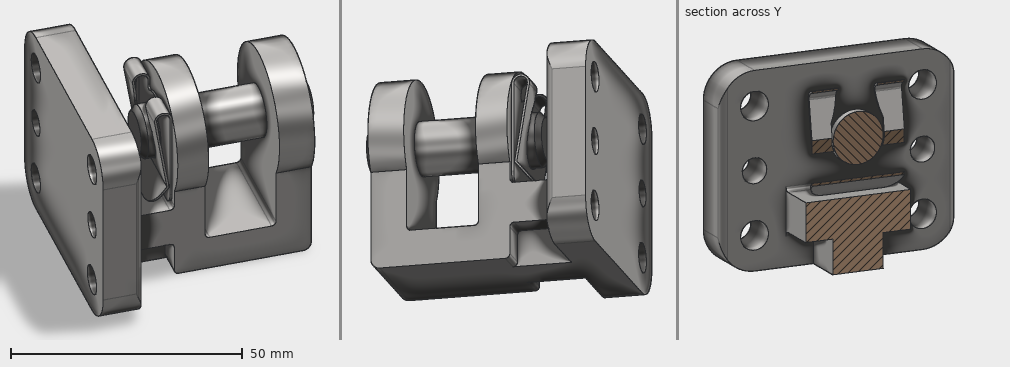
import cadquery as cq
import math


PLATE_WIDTH = 56.0
PLATE_THICKNESS = 9.0
HEIGHT = 45.0
PLATE_CORNER_RADIUS = 8.0
PLATE_EDGE_RADIUS = 1.5
HOLE_SPACING_X = 40.0
SCREW_SPACING_Z = 29.0
SCREW_HOLE_DIAMETER = 6.6
DOWEL_HOLE_DIAMETER = 5.8

FORK_WIDTH = 25.0
LUG_DIAMETER = 30.0
PIN_HEIGHT = HEIGHT - LUG_DIAMETER / 2
NEAR_LUG_FRONT = 21.0
NEAR_LUG_BACK = 28.0
FAR_LUG_FRONT = 44.0
FAR_LUG_BACK = 52.0
FORK_FLOOR = 8.0
NECK_TOP = 17.0
RIB_WIDTH = 12.0
FORK_FILLET = 1.0
FORK_HEEL_RADIUS = 2.0

PIN_DIAMETER = 12.0
PIN_START = 16.0
PIN_LENGTH = 39.0
PIN_CHAMFER = 1.25
GROOVE_DIAMETER = 9.0
GROOVE_WIDTH = 1.2

CLIP_WIDTH = 22.0
CLIP_THICKNESS = 0.5
CLIP_PLATE_FRONT = NEAR_LUG_FRONT - CLIP_THICKNESS
BEND_OUTER_RADIUS = 2.0
BEND_INNER_RADIUS = BEND_OUTER_RADIUS - CLIP_THICKNESS
BEND_CENTER_Y = NEAR_LUG_FRONT - BEND_OUTER_RADIUS
BEND_CENTER_Z = 39.75
LEG_ANGLE = 9.2
LEG_LENGTH = 17.7
LIP_ANGLE = 41.0
LIP_LENGTH = 6.25
FOOT_CORNER_RADIUS = 3.0
LIP_CORNER_RADIUS = 4.0
WAIST_WIDTH = 9.15
WAIST_RADIUS = 20.0
WINDOW_CLEARANCE = 0.2
COLLAR_RADIUS = 7.0
COLLAR_TOP = 38.8
COLLAR_FILLET = 0.8


def along_y(y_start):
    """XZ workplane at y_start whose extrusions run toward +Y."""
    return cq.Workplane(cq.Plane((0, y_start, 0), (-1, 0, 0), (0, 1, 0)))


def disc(diameter, y_start, length, z=PIN_HEIGHT):
    return along_y(y_start).center(0, z).circle(diameter / 2).extrude(length)


def block(width, y_start, y_end, z_start, z_end):
    size = (width, y_end - y_start, z_end - z_start)
    return cq.Workplane("XY").box(*size, centered=(True, False, False)).translate((0, y_start, z_start))


def mounting_plate():
    plate = block(PLATE_WIDTH, 0, PLATE_THICKNESS, 0, HEIGHT)
    plate = plate.edges("|Z and >Y").fillet(PLATE_EDGE_RADIUS)
    outline = block(PLATE_WIDTH, 0, PLATE_THICKNESS, 0, HEIGHT).edges("|Y").fillet(PLATE_CORNER_RADIUS)
    plate = plate.intersect(outline)
    for side in (-1, 1):
        x = side * HOLE_SPACING_X / 2
        plate = plate.cut(disc(DOWEL_HOLE_DIAMETER, 0, PLATE_THICKNESS, HEIGHT / 2).translate((x, 0, 0)))
        for level in (-1, 1):
            z = HEIGHT / 2 + level * SCREW_SPACING_Z / 2
            plate = plate.cut(disc(SCREW_HOLE_DIAMETER, 0, PLATE_THICKNESS, z).translate((x, 0, 0)))
    return plate


def fork():
    profile = [
        (PLATE_THICKNESS, FORK_FLOOR),
        (NEAR_LUG_FRONT, FORK_FLOOR),
        (NEAR_LUG_FRONT, 0),
        (FAR_LUG_BACK, 0),
        (FAR_LUG_BACK, PIN_HEIGHT),
        (FAR_LUG_FRONT, PIN_HEIGHT),
        (FAR_LUG_FRONT, FORK_FLOOR),
        (NEAR_LUG_BACK, FORK_FLOOR),
        (NEAR_LUG_BACK, PIN_HEIGHT),
        (NEAR_LUG_FRONT, PIN_HEIGHT),
        (NEAR_LUG_FRONT, NECK_TOP),
        (PLATE_THICKNESS, NECK_TOP),
    ]
    body = cq.Workplane("YZ").polyline(profile).close().extrude(FORK_WIDTH / 2, both=True)
    body = body.edges("|X and >Y and <Z").fillet(FORK_HEEL_RADIUS)
    small_fillets = [
        (NEAR_LUG_FRONT, 0),
        (NEAR_LUG_FRONT, FORK_FLOOR),
        (NEAR_LUG_FRONT, NECK_TOP),
        (NEAR_LUG_BACK, FORK_FLOOR),
        (FAR_LUG_FRONT, FORK_FLOOR),
    ]
    for y, z in small_fillets:
        body = body.edges(cq.NearestToPointSelector((0, y, z))).fillet(FORK_FILLET)
    for start, end in ((NEAR_LUG_FRONT, NEAR_LUG_BACK), (FAR_LUG_FRONT, FAR_LUG_BACK)):
        body = body.union(disc(LUG_DIAMETER, start, end - start))
    return body


def clevis_body():
    rib = block(RIB_WIDTH, PLATE_THICKNESS, NEAR_LUG_FRONT + FORK_FILLET, 0, FORK_FLOOR)
    body = mounting_plate().union(fork())
    for z in (FORK_FLOOR, NECK_TOP):
        root = cq.NearestToPointSelector((0, PLATE_THICKNESS, z))
        body = body.edges(root).fillet(FORK_FILLET)
    body = body.union(rib)
    return body.cut(disc(PIN_DIAMETER, NEAR_LUG_FRONT, FAR_LUG_BACK - NEAR_LUG_FRONT))


def cross_pin():
    pin = disc(PIN_DIAMETER, PIN_START, PIN_LENGTH).faces("<Y or >Y").chamfer(PIN_CHAMFER)
    groove_start = NEAR_LUG_FRONT - GROOVE_WIDTH
    groove = disc(PIN_DIAMETER, groove_start, GROOVE_WIDTH).cut(
        disc(GROOVE_DIAMETER, groove_start, GROOVE_WIDTH)
    )
    return pin.cut(groove)


def clip_strip():
    """Bent strip: back plate, half-round bend, leaning leg and flared lip."""
    center = cq.Vector(0, BEND_CENTER_Y, BEND_CENTER_Z)
    leg = math.radians(LEG_ANGLE)
    lip = math.radians(LIP_ANGLE)
    leg_run = cq.Vector(0, math.sin(leg), -math.cos(leg))
    leg_normal = cq.Vector(0, -math.cos(leg), -math.sin(leg))
    lip_run = cq.Vector(0, -math.sin(lip), -math.cos(lip))
    lip_normal = cq.Vector(0, -math.cos(lip), math.sin(lip))
    miter = (leg_normal + lip_normal) / (1 + leg_normal.dot(lip_normal))

    leg_inner = center + leg_normal * BEND_INNER_RADIUS
    leg_outer = center + leg_normal * BEND_OUTER_RADIUS
    knee_inner = leg_inner + leg_run * LEG_LENGTH
    knee_outer = knee_inner + miter * CLIP_THICKNESS
    tip_inner = knee_inner + lip_run * LIP_LENGTH
    tip_outer = tip_inner + lip_normal * CLIP_THICKNESS

    def flat(point):
        return (point.y, point.z)

    strip = (
        cq.Workplane("YZ")
        .moveTo(NEAR_LUG_FRONT, NECK_TOP)
        .lineTo(NEAR_LUG_FRONT, BEND_CENTER_Z)
        .threePointArc((BEND_CENTER_Y, BEND_CENTER_Z + BEND_OUTER_RADIUS), flat(leg_outer))
        .lineTo(*flat(knee_outer))
        .lineTo(*flat(tip_outer))
        .lineTo(*flat(tip_inner))
        .lineTo(*flat(knee_inner))
        .lineTo(*flat(leg_inner))
        .threePointArc(
            (BEND_CENTER_Y, BEND_CENTER_Z + BEND_INNER_RADIUS),
            (CLIP_PLATE_FRONT, BEND_CENTER_Z),
        )
        .lineTo(CLIP_PLATE_FRONT, NECK_TOP)
        .close()
        .extrude(CLIP_WIDTH / 2, both=True)
    )
    tip_end = (tip_inner + tip_outer) / 2
    foot_end = cq.Vector(0, (CLIP_PLATE_FRONT + NEAR_LUG_FRONT) / 2, NECK_TOP)
    for end, radius in ((tip_end, LIP_CORNER_RADIUS), (foot_end, FOOT_CORNER_RADIUS)):
        end_face = cq.NearestToPointSelector(end.toTuple())
        strip = strip.faces(end_face).edges("not |X").fillet(radius)
    return strip


def waisted_opening(y_start, y_end):
    """Opening above the pin whose curved sides are closest at the crest of the bend."""
    width = PIN_DIAMETER + 2 * WINDOW_CLEARANCE
    opening = block(width, y_start, y_end, PIN_HEIGHT, HEIGHT)
    crest = BEND_CENTER_Z + BEND_OUTER_RADIUS
    flank = disc(2 * WAIST_RADIUS, y_start, y_end - y_start, crest)
    for side in (-1, 1):
        opening = opening.cut(flank.translate((side * (WAIST_WIDTH / 2 + WAIST_RADIUS), 0, 0)))
    return opening


def clip_window():
    """Window through the leg and bend, stopping at a round collar on the back plate."""
    leg_opening = waisted_opening(PIN_START, CLIP_PLATE_FRONT).union(
        disc(PIN_DIAMETER + 2 * WINDOW_CLEARANCE, PIN_START, CLIP_PLATE_FRONT - PIN_START)
    )
    plate_opening = waisted_opening(CLIP_PLATE_FRONT, NEAR_LUG_FRONT).cut(
        disc(2 * COLLAR_RADIUS, CLIP_PLATE_FRONT, CLIP_THICKNESS, COLLAR_TOP - COLLAR_RADIUS)
    )
    plate_opening = plate_opening.edges("|Y and <Z").fillet(COLLAR_FILLET)
    return leg_opening.union(plate_opening)


def locking_clip(seat):
    clip = clip_strip().cut(clip_window())
    clip = clip.cut(disc(GROOVE_DIAMETER, CLIP_PLATE_FRONT, CLIP_THICKNESS))
    return clip.cut(seat)


clevis = clevis_body()
pin = cross_pin()
clip = locking_clip(clevis)

result = cq.Compound.makeCompound([clevis.solids().val(), pin.solids().val(), clip.solids().val()])